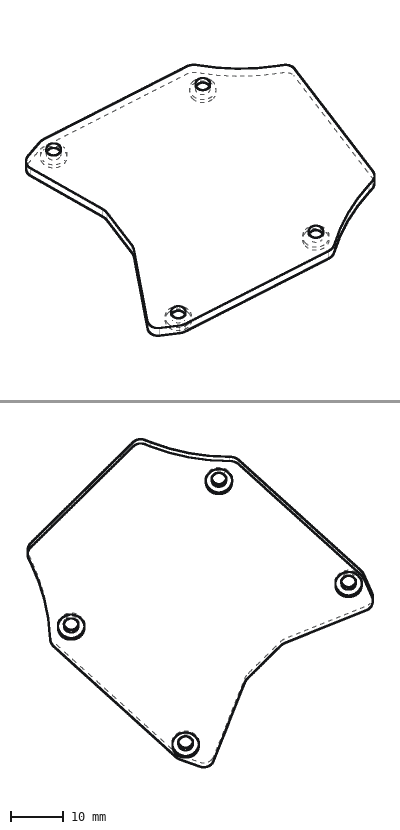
import cadquery as cq
import math

width = 50.5
length = 54.65
thickness = 2.5
half_width = width / 2

rear_half_width = 15.35
flank_start = (16.3, 52.3)
flank_mid = (18.75, 47.15)
side_top = 38.75

notch_half_width = 5.0
notch_depth = 6.95
slope_angle = math.radians(23.2)

end_radius = 2.0
side_top_radius = 2.5
side_bottom_radius = 3.0
notch_radius = 3.0

hole_diameter = 2.8
recess_diameter = 5.0
recess_depth = 1.0
rear_hole = (20.15, 38.1)
front_hole = (22.25, 6.2)

sine = math.sin(slope_angle)
cosine = math.cos(slope_angle)
tip_y = end_radius * (1 - sine - cosine)
tip_x = notch_half_width + (notch_depth - tip_y) * cosine / sine
side_bottom = tip_y + (half_width - tip_x) * cosine / sine


def mirrored(point):
    return (-point[0], point[1])


def sharp_plate():
    rear = (rear_half_width, length)
    flank_end = (half_width, side_top)
    side_end = (half_width, side_bottom)
    tip = (tip_x, tip_y)
    notch = (notch_half_width, notch_depth)
    return (
        cq.Workplane("XY")
        .moveTo(*mirrored(rear))
        .lineTo(*rear)
        .lineTo(*flank_start)
        .threePointArc(flank_mid, flank_end)
        .lineTo(*side_end)
        .lineTo(*tip)
        .lineTo(*notch)
        .lineTo(*mirrored(notch))
        .lineTo(*mirrored(tip))
        .lineTo(*mirrored(side_end))
        .lineTo(*mirrored(flank_end))
        .threePointArc(mirrored(flank_mid), mirrored(flank_start))
        .close()
        .extrude(thickness)
    )


def round_corners(plate, corner_x, corner_y, radius):
    """Round the mirrored pair of vertical edges at (+-corner_x, corner_y)."""
    for x in (-corner_x, corner_x):
        edge = cq.selectors.NearestToPointSelector((x, corner_y, thickness / 2))
        plate = plate.edges("|Z").edges(edge).fillet(radius)
    return plate


plate = sharp_plate()
plate = round_corners(plate, rear_half_width, length, end_radius)
plate = round_corners(plate, tip_x, tip_y, end_radius)
plate = round_corners(plate, half_width, side_top, side_top_radius)
plate = round_corners(plate, half_width, side_bottom, side_bottom_radius)
plate = round_corners(plate, notch_half_width, notch_depth, notch_radius)

hole_centers = [rear_hole, mirrored(rear_hole), front_hole, mirrored(front_hole)]
holes = cq.Workplane("XY").pushPoints(hole_centers).circle(hole_diameter / 2).extrude(thickness)
recesses = cq.Workplane("XY").pushPoints(hole_centers).circle(recess_diameter / 2).extrude(recess_depth)

result = plate.cut(holes).cut(recesses)